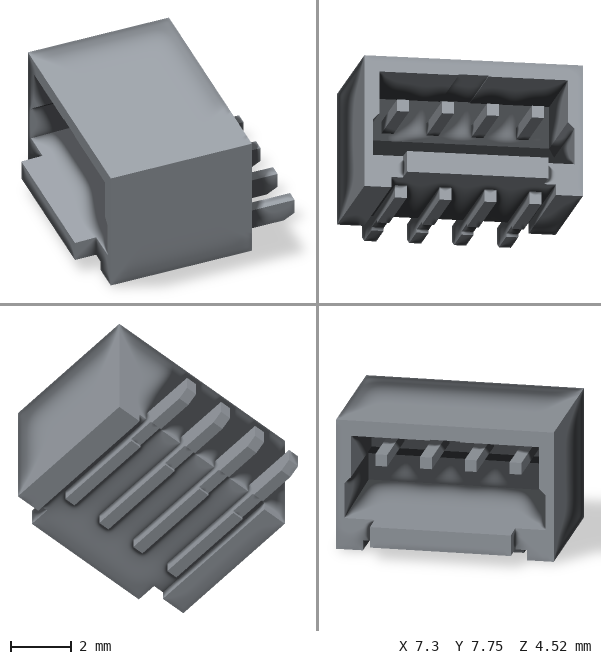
import cadquery as cq

BODY_WIDTH = 7.3
BODY_DEPTH = 5.0
BODY_HEIGHT = 4.45

UPPER_WALL = 0.5
LOWER_WALL = 0.28
TOP_WALL = 0.53
CAVITY_TOP = BODY_HEIGHT - TOP_WALL
STEP_TOP = 2.5
STEP_BOTTOM = STEP_TOP - (UPPER_WALL - LOWER_WALL)
UPPER_DEPTH = 3.44
LOWER_DEPTH = 4.0
RAMP_BOTTOM = 2.09
KEY_WIDTH = 1.0
KEY_DEPTH = 0.03

FLOOR_AT_FRONT = 1.075
FLOOR_AT_BACK = 1.18
FLOOR_SLOPE = (FLOOR_AT_BACK - FLOOR_AT_FRONT) / LOWER_DEPTH

TONGUE_WIDTH = 4.72
TONGUE_LENGTH = 0.75
CHANNEL_WIDTH = 5.5
CHANNEL_HEIGHT = 0.35

PIN_COUNT = 4
PIN_PITCH = 1.5
PIN_SIZE = 0.4
PIN_CENTER_Z = 2.955
PIN_TIP_Y = 0.57
SOLDER_Z = -0.07
TAIL_LENGTH = 2.0
TAIL_TOP = 0.67
TAIL_ROOT_Z = 0.03
TAIL_TIP_Z = 0.14
TAIL_BEVEL = 0.38
HEEL_START = 0.22
HEEL_END = 0.27
PAD_FRONT_Y = 1.0
PAD_BACK_Y = 4.25
EMBED = 0.2


def box(width, y_range, z_range, center_x=0):
    """Block centred on center_x between two Y and two Z limits."""
    depth = y_range[1] - y_range[0]
    height = z_range[1] - z_range[0]
    block = cq.Workplane("XY").box(width, depth, height, centered=(True, False, False))
    return block.translate((center_x, y_range[0], z_range[0]))


def side_profile(points, width, center_x=0):
    """Closed outline of (Y, Z) points extruded across X, centred on center_x."""
    outline = cq.Workplane("YZ").polyline(points).close()
    return outline.extrude(width / 2, both=True).translate((center_x, 0, 0))


def make_cavity():
    """Stepped opening, limited by the sloping floor and the ramped back wall."""
    upper_half = BODY_WIDTH / 2 - UPPER_WALL
    lower_half = BODY_WIDTH / 2 - LOWER_WALL
    opening = (
        cq.Workplane("XZ")
        .polyline([
            (-lower_half, 0),
            (lower_half, 0),
            (lower_half, STEP_BOTTOM),
            (upper_half, STEP_TOP),
            (upper_half, CAVITY_TOP),
            (-upper_half, CAVITY_TOP),
            (-upper_half, STEP_TOP),
            (-lower_half, STEP_BOTTOM),
        ])
        .close()
        .extrude(-BODY_DEPTH)
    )
    depth_limit = side_profile([
        (0, FLOOR_AT_FRONT),
        (LOWER_DEPTH, FLOOR_AT_BACK),
        (LOWER_DEPTH, RAMP_BOTTOM),
        (UPPER_DEPTH, STEP_TOP),
        (UPPER_DEPTH, BODY_HEIGHT),
        (0, BODY_HEIGHT),
    ], BODY_WIDTH)
    key = box(KEY_WIDTH, (0, UPPER_DEPTH), (STEP_TOP, CAVITY_TOP + KEY_DEPTH))
    return opening.intersect(depth_limit).union(key)


def make_tongue():
    """Tongue whose top face continues the cavity floor."""
    return side_profile([
        (0, CHANNEL_HEIGHT),
        (0, FLOOR_AT_FRONT),
        (-TONGUE_LENGTH, FLOOR_AT_FRONT - FLOOR_SLOPE * TONGUE_LENGTH),
        (-TONGUE_LENGTH, CHANNEL_HEIGHT),
    ], TONGUE_WIDTH)


def make_housing():
    """Shroud with its cavity, tongue and underside channel."""
    shell = box(BODY_WIDTH, (0, BODY_DEPTH), (0, BODY_HEIGHT))
    channel = box(CHANNEL_WIDTH, (0, BODY_DEPTH), (0, CHANNEL_HEIGHT))
    return shell.cut(make_cavity()).cut(channel).union(make_tongue())


def make_contact(center_x):
    """Mating pin, solder tail behind the housing and pad below it."""
    pin = box(
        PIN_SIZE,
        (PIN_TIP_Y, UPPER_DEPTH + EMBED),
        (PIN_CENTER_Z - PIN_SIZE / 2, PIN_CENTER_Z + PIN_SIZE / 2),
        center_x,
    )
    tail_end = BODY_DEPTH + TAIL_LENGTH
    tail = side_profile([
        (PAD_BACK_Y, TAIL_ROOT_Z),
        (BODY_DEPTH + HEEL_START, TAIL_ROOT_Z),
        (BODY_DEPTH + HEEL_END, SOLDER_Z),
        (tail_end - TAIL_BEVEL, SOLDER_Z),
        (tail_end, TAIL_TIP_Z),
        (tail_end, TAIL_TOP),
        (PAD_BACK_Y, TAIL_TOP),
    ], PIN_SIZE, center_x)
    pad = box(
        PIN_SIZE,
        (PAD_FRONT_Y, PAD_BACK_Y),
        (SOLDER_Z, CHANNEL_HEIGHT + EMBED),
        center_x,
    )
    return pin.union(tail).union(pad)


result = make_housing()
for index in range(PIN_COUNT):
    contact_x = (index - (PIN_COUNT - 1) / 2) * PIN_PITCH
    result = result.union(make_contact(contact_x))